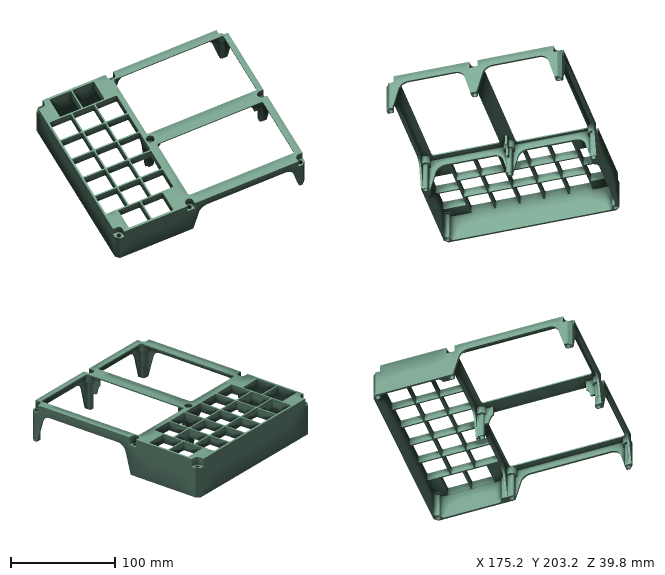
import cadquery as cq

WIDTH = 175.2
LENGTH = 203.2
HEIGHT = 39.8
CORNER_CHAMFER = 3.7
WALL = 2.0
PLATE_THICKNESS = 1.5
RIM_DEPTH = 9.5
INNER_X = WIDTH / 2 - WALL
INNER_Y = LENGTH / 2 - WALL

KEY_SIZE = 23.2
KEY_PITCH = 24.5
KEY_COLUMNS = 5
KEY_ROWS = 3
SIDE_KEY_ROWS = 2
KEY_CORNER_RADIUS = 1.2
KEYPAD_CENTER_Y = -63.5

CROSS_WALL_FRONT_Y = KEYPAD_CENTER_Y + KEY_PITCH * (KEY_ROWS - 1) / 2 + KEY_SIZE / 2
CROSS_WALL_BACK_Y = CROSS_WALL_FRONT_Y + WALL

LEFT_WINDOW = (-78.8, -6.5, -22.0, 96.0)
RIGHT_WINDOW = (8.3, 76.5, -18.7, 94.5)
WINDOW_RADIUS = 2.0

SCREW_X = 84.0
SCREW_BACK_Y = 97.3
SCREW_MIDDLE_Y = -21.7
SCREW_FRONT_Y = -97.3
SCREW_RADIUS = 2.2
HEAD_RADIUS = 4.0
HEAD_DEPTH = 8.1
CUP_RADIUS = 5.5
CUP_DEPTH = HEAD_DEPTH + WALL

POST_HALF_WIDTH = 3.0
POST_ROUND = 2.0
WEB_RADIUS = 3.7
SIDE_POST_FRONT_Y = SCREW_MIDDLE_Y - 10.2

ARCH_RADIUS = 10.2
ARCH_LEAN = 8.1
ARCH_REACH = WALL + WEB_RADIUS
SIDE_ARCH_FRONT_Y = -19.3
SIDE_ARCH_BACK_Y = SCREW_BACK_Y - POST_HALF_WIDTH
ARCH_OUTER_X = SCREW_X - POST_HALF_WIDTH
CROSS_ARCH_INNER_X = 1.2

GUSSET_DEPTH = 22.4
GUSSET_LENGTH = 12.0


def box(x_limits, y_limits, bottom, top=0.0):
    """Upright block; each pair of limits may come in either order."""
    left, right = sorted(x_limits)
    front, back = sorted(y_limits)
    block = cq.Workplane("XY").box(right - left, back - front, top - bottom, centered=False)
    return block.translate((left, front, bottom))


def cylinder(x, y, radius, depth):
    """Cylinder hanging down from the top face."""
    return cq.Workplane("XY").center(x, y).circle(radius).extrude(-depth)


def web(x, y, x_side, y_side):
    """Concave full-height fillet in the corner at (x, y), opening toward the given sides."""
    center_x = x + x_side * WEB_RADIUS
    center_y = y + y_side * WEB_RADIUS
    block = box((x, center_x), (y, center_y), -HEIGHT)
    return block.cut(cylinder(center_x, center_y, WEB_RADIUS, HEIGHT))


def arch(plane, start, end, reach):
    """Tapered opening with a rounded top, reaching both ways from the plane."""
    outline = [
        (start, -HEIGHT),
        (start + ARCH_LEAN, -RIM_DEPTH),
        (end - ARCH_LEAN, -RIM_DEPTH),
        (end, -HEIGHT),
    ]
    opening = cq.Workplane(plane).polyline(outline).close().extrude(reach, both=True)
    across = "|X" if plane == "YZ" else "|Y"
    return opening.edges(across).edges(">Z").fillet(ARCH_RADIUS)


def arch_pair(inner_x, y, reach):
    """Left and right arches through a wall running along X."""
    right = arch("XZ", inner_x, ARCH_OUTER_X, reach)
    left = arch("XZ", -ARCH_OUTER_X, -inner_x, reach)
    return right.union(left).translate((0, y, 0))


def corner_post(x_side, y_side, screw_y):
    """Post in an outer corner, blended into both walls."""
    inner_x = x_side * (SCREW_X - POST_HALF_WIDTH)
    inner_y = screw_y - y_side * POST_HALF_WIDTH
    post = box((inner_x, x_side * WIDTH / 2), (inner_y, y_side * LENGTH / 2), -HEIGHT)
    inner_edge = cq.NearestToPointSelector((inner_x, inner_y, -HEIGHT / 2))
    post = post.edges("|Z").edges(inner_edge).fillet(POST_ROUND)
    post = post.union(web(inner_x, y_side * INNER_Y, -x_side, -y_side))
    return post.union(web(x_side * INNER_X, inner_y, -x_side, -y_side))


def side_post(x_side):
    """Post on a side wall, running through the cross wall into the keypad."""
    inner_x = x_side * (SCREW_X - POST_HALF_WIDTH)
    y_limits = (SIDE_POST_FRONT_Y, SCREW_MIDDLE_Y + POST_HALF_WIDTH)
    post = box((inner_x, x_side * WIDTH / 2), y_limits, -HEIGHT)
    post = post.edges("|Z").edges("<X" if x_side > 0 else ">X").fillet(POST_ROUND)
    return post.union(web(x_side * INNER_X, SIDE_POST_FRONT_Y, -x_side, -1))


def back_middle_post():
    """Post on the middle of the back wall, blended into it on both sides."""
    x_limits = (-POST_HALF_WIDTH, POST_HALF_WIDTH)
    post = box(x_limits, (SCREW_BACK_Y - POST_HALF_WIDTH, LENGTH / 2), -HEIGHT)
    post = post.edges("|Z").edges("<Y").fillet(POST_ROUND)
    for side in (-1, 1):
        post = post.union(web(side * POST_HALF_WIDTH, INNER_Y, side, -1))
    return post


def center_post():
    """Free-standing post against the back of the cross wall."""
    x_limits = (-POST_HALF_WIDTH, POST_HALF_WIDTH)
    post = box(x_limits, (CROSS_WALL_BACK_Y, SCREW_MIDDLE_Y + POST_HALF_WIDTH), -HEIGHT)
    return post.edges("|Z").edges(">Y").fillet(POST_ROUND)


def gusset(y, y_side):
    """Fin from a middle post along the bar between the windows."""
    return box((-WALL / 2, WALL / 2), (y, y + y_side * GUSSET_LENGTH), -GUSSET_DEPTH)


def screw_recess(x, y, x_side, y_side):
    """Through hole and head recess, the recess left open toward the given outer sides."""
    recess = cylinder(x, y, SCREW_RADIUS, HEIGHT).union(cylinder(x, y, HEAD_RADIUS, HEAD_DEPTH))
    if x_side:
        recess = recess.union(box((x, x_side * WIDTH), (y - HEAD_RADIUS, y + HEAD_RADIUS), -HEAD_DEPTH))
    if y_side:
        recess = recess.union(box((x - HEAD_RADIUS, x + HEAD_RADIUS), (y, y_side * LENGTH), -HEAD_DEPTH))
    return recess


def key_openings():
    """Main key grid and the two side columns, offset by half a pitch."""
    centers = []
    for column in range(KEY_COLUMNS):
        for row in range(KEY_ROWS):
            x = (column - (KEY_COLUMNS - 1) / 2) * KEY_PITCH
            centers.append((x, KEYPAD_CENTER_Y + (row - (KEY_ROWS - 1) / 2) * KEY_PITCH))
    side_x = (KEY_COLUMNS + 1) / 2 * KEY_PITCH
    for x in (-side_x, side_x):
        for row in range(SIDE_KEY_ROWS):
            centers.append((x, KEYPAD_CENTER_Y + (row - (SIDE_KEY_ROWS - 1) / 2) * KEY_PITCH))
    keys = cq.Workplane("XY").pushPoints(centers).rect(KEY_SIZE, KEY_SIZE).extrude(-RIM_DEPTH)
    return keys.edges("|Z").fillet(KEY_CORNER_RADIUS)


screws = [(0, SCREW_MIDDLE_Y, 0, 0), (0, SCREW_BACK_Y, 0, 1)]
for side in (-1, 1):
    screws.append((side * SCREW_X, SCREW_FRONT_Y, side, -1))
    screws.append((side * SCREW_X, SCREW_MIDDLE_Y, side, 0))
    screws.append((side * SCREW_X, SCREW_BACK_Y, side, 1))

envelope = box((-WIDTH / 2, WIDTH / 2), (-LENGTH / 2, LENGTH / 2), -HEIGHT)
envelope = envelope.edges("|Z").chamfer(CORNER_CHAMFER)
keypad_cavity = box((-INNER_X, INNER_X), (-INNER_Y, CROSS_WALL_FRONT_Y), -HEIGHT, -RIM_DEPTH)
screen_cavity = box((-INNER_X, INNER_X), (CROSS_WALL_BACK_Y, INNER_Y), -HEIGHT, -PLATE_THICKNESS)
body = envelope.cut(keypad_cavity).cut(screen_cavity)

body = body.cut(arch_pair(CROSS_ARCH_INNER_X, CROSS_WALL_FRONT_Y, 2 * WALL))

supports = center_post().union(back_middle_post())
for side in (-1, 1):
    supports = supports.union(corner_post(side, -1, SCREW_FRONT_Y))
    supports = supports.union(corner_post(side, 1, SCREW_BACK_Y))
    supports = supports.union(side_post(side))
for x, y, x_side, y_side in screws:
    supports = supports.union(cylinder(x, y, CUP_RADIUS, CUP_DEPTH))
supports = supports.union(gusset(SCREW_BACK_Y, -1)).union(gusset(SCREW_MIDDLE_Y, 1))
body = body.union(supports.intersect(envelope))

body = body.cut(arch_pair(POST_HALF_WIDTH, LENGTH / 2, ARCH_REACH))
body = body.cut(arch("YZ", SIDE_ARCH_FRONT_Y, SIDE_ARCH_BACK_Y, WIDTH))

for left, right, front, back in (LEFT_WINDOW, RIGHT_WINDOW):
    window = box((left, right), (front, back), -PLATE_THICKNESS)
    body = body.cut(window.edges("|Z").fillet(WINDOW_RADIUS))
for x, y, x_side, y_side in screws:
    body = body.cut(screw_recess(x, y, x_side, y_side))

result = body.cut(key_openings())